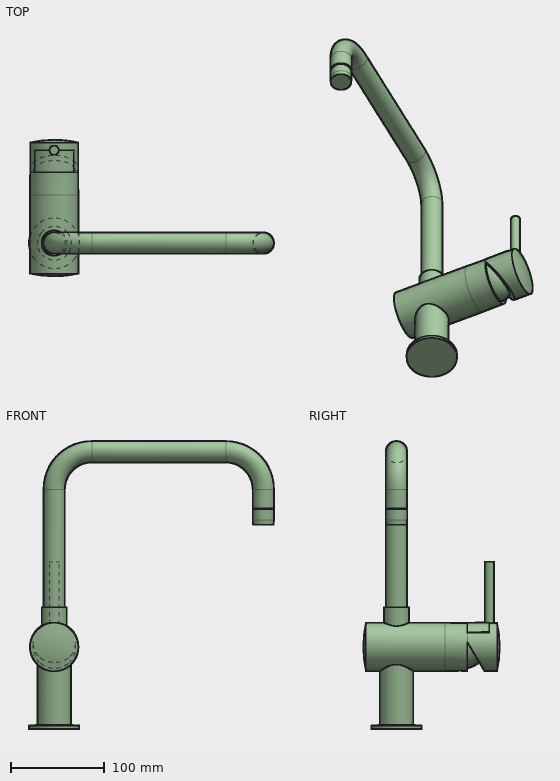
import cadquery as cq
import math


FLANGE_DIA = 54.0
FLANGE_THICK = 3.8
FLANGE_CROWN_Z = 4.5
POST_DIA = 36.0

BODY_DIA = 52.0
HANDLE_DIA = 51.5
BODY_AXIS_Z = 87.6
BODY_FRONT_Y = -32.5
RING_START_Y = 51.4
HANDLE_START_Y = 75.6
HANDLE_END_Y = 107.2
DOME_RISE = 3.02

PAD_WIDTH = 41.4
PAD_START_RADIUS = 25.95
PAD_END_RADIUS = 26.2

RELIEF_APEX_Z = 5.0
RELIEF_BOTTOM_Y = 94.0
BALL_RADIUS = 23.0
BALL_Y = 72.0

LEVER_DIA = 10.0
LEVER_Y = 99.0
LEVER_TOP_Z = 178.6

RISER_COLLAR_DIA = 27.0
RISER_COLLAR_TOP = 130.0
TUBE_DIA = 23.0
SPOUT_REACH = 223.0
TOTAL_HEIGHT = 307.2
BEND_RADIUS = 40.0

GROOVE_Z = 235.0
GROOVE_WIDTH = 1.0
GROOVE_DEPTH = 0.5
TIP_START_Z = 223.2
TIP_END_Z = 217.8
TIP_END_DIA = 22.0

BODY_RADIUS = BODY_DIA / 2
HANDLE_RADIUS = HANDLE_DIA / 2
TUBE_AXIS_Z = TOTAL_HEIGHT - TUBE_DIA / 2
BEND_START_Z = TUBE_AXIS_Z - BEND_RADIUS


def rod(diameter, bottom, top, x=0.0, y=0.0):
    """Upright cylinder between two heights."""
    return cq.Workplane("XY", origin=(x, y, bottom)).circle(diameter / 2).extrude(top - bottom)


def revolve_about_body_axis(profile):
    """Revolve a closed profile of (radius, y) points about the body axis."""
    return profile.revolve(360, (0, 0, 0), (0, 1, 0)).translate((0, 0, BODY_AXIS_Z))


def dome_height(rim_radius, radius):
    """Height above the rim of a spherical dome at a given radius."""
    sphere_radius = (rim_radius**2 + DOME_RISE**2) / (2 * DOME_RISE)
    return math.sqrt(sphere_radius**2 - radius**2) - (sphere_radius - DOME_RISE)


def make_base():
    """Round flange with a shallow conical top, carrying the post."""
    flange = (
        cq.Workplane("XZ")
        .lineTo(FLANGE_DIA / 2, 0)
        .lineTo(FLANGE_DIA / 2, FLANGE_THICK)
        .lineTo(POST_DIA / 2, FLANGE_CROWN_Z)
        .lineTo(0, FLANGE_CROWN_Z)
        .close()
        .revolve(360, (0, 0, 0), (0, 1, 0))
    )
    return flange.union(rod(POST_DIA, FLANGE_THICK / 2, BODY_AXIS_Z))


def make_body():
    """Turned body, ring and handle with a dome at each end."""
    front_mid = BODY_RADIUS / 2
    rear_mid = HANDLE_RADIUS / 2
    profile = (
        cq.Workplane("XY")
        .moveTo(0, BODY_FRONT_Y - DOME_RISE)
        .threePointArc(
            (front_mid, BODY_FRONT_Y - dome_height(BODY_RADIUS, front_mid)),
            (BODY_RADIUS, BODY_FRONT_Y),
        )
        .lineTo(BODY_RADIUS, RING_START_Y)
        .lineTo(HANDLE_RADIUS, HANDLE_START_Y)
        .lineTo(HANDLE_RADIUS, HANDLE_END_Y)
        .threePointArc(
            (rear_mid, HANDLE_END_Y + dome_height(HANDLE_RADIUS, rear_mid)),
            (0, HANDLE_END_Y + DOME_RISE),
        )
        .close()
    )
    return revolve_about_body_axis(profile)


def make_pad():
    """Slightly conical raised pad on the top of the handle."""
    cone = revolve_about_body_axis(
        cq.Workplane("XY")
        .moveTo(0, HANDLE_START_Y)
        .lineTo(PAD_START_RADIUS, HANDLE_START_Y)
        .lineTo(PAD_END_RADIUS, LEVER_Y)
        .lineTo(0, LEVER_Y)
        .close()
    )
    limits = cq.Workplane("XY", origin=(0, 0, BODY_AXIS_Z)).box(
        PAD_WIDTH, 2 * HANDLE_END_Y, BODY_DIA, centered=(True, True, False)
    )
    return cone.intersect(limits)


def make_relief():
    """Sloped cut under the handle that leaves the inner ball standing."""
    wedge = (
        cq.Workplane("YZ")
        .moveTo(HANDLE_START_Y, BODY_AXIS_Z + RELIEF_APEX_Z)
        .lineTo(RELIEF_BOTTOM_Y, BODY_AXIS_Z - BODY_RADIUS)
        .lineTo(HANDLE_START_Y, BODY_AXIS_Z - BODY_RADIUS)
        .close()
        .extrude(BODY_DIA, both=True)
    )
    ball = cq.Workplane("XY", origin=(0, BALL_Y, BODY_AXIS_Z)).sphere(BALL_RADIUS)
    return wedge.cut(ball)


def make_spout():
    """Bent tube from the body up, across and down to the nozzle tip."""
    diagonal = BEND_RADIUS * math.sqrt(0.5)
    second_bend_x = SPOUT_REACH - BEND_RADIUS
    path = (
        cq.Workplane("XZ")
        .moveTo(0, BODY_AXIS_Z)
        .lineTo(0, BEND_START_Z)
        .threePointArc((BEND_RADIUS - diagonal, BEND_START_Z + diagonal), (BEND_RADIUS, TUBE_AXIS_Z))
        .lineTo(second_bend_x, TUBE_AXIS_Z)
        .threePointArc((second_bend_x + diagonal, BEND_START_Z + diagonal), (SPOUT_REACH, BEND_START_Z))
        .lineTo(SPOUT_REACH, TIP_START_Z)
    )
    tube = cq.Workplane("XY", origin=(0, 0, BODY_AXIS_Z)).circle(TUBE_DIA / 2).sweep(path)
    tip = (
        cq.Workplane("XY", origin=(SPOUT_REACH, 0, TIP_START_Z))
        .circle(TUBE_DIA / 2)
        .workplane(offset=TIP_END_Z - TIP_START_Z)
        .circle(TIP_END_DIA / 2)
        .loft()
    )
    return tube.union(tip).cut(make_nozzle_groove())


def make_nozzle_groove():
    """Ring that cuts the narrow groove round the nozzle."""
    bottom = GROOVE_Z - GROOVE_WIDTH / 2
    top = GROOVE_Z + GROOVE_WIDTH / 2
    core = rod(TUBE_DIA - 2 * GROOVE_DEPTH, bottom, top, x=SPOUT_REACH)
    return rod(TUBE_DIA + 2 * GROOVE_DEPTH, bottom, top, x=SPOUT_REACH).cut(core)


riser_collar = rod(RISER_COLLAR_DIA, BODY_AXIS_Z, RISER_COLLAR_TOP)
lever = rod(LEVER_DIA, BODY_AXIS_Z, LEVER_TOP_Z, y=LEVER_Y)

result = (
    make_body()
    .cut(make_relief())
    .union(make_pad())
    .union(lever)
    .union(make_base())
    .union(riser_collar)
    .union(make_spout())
)